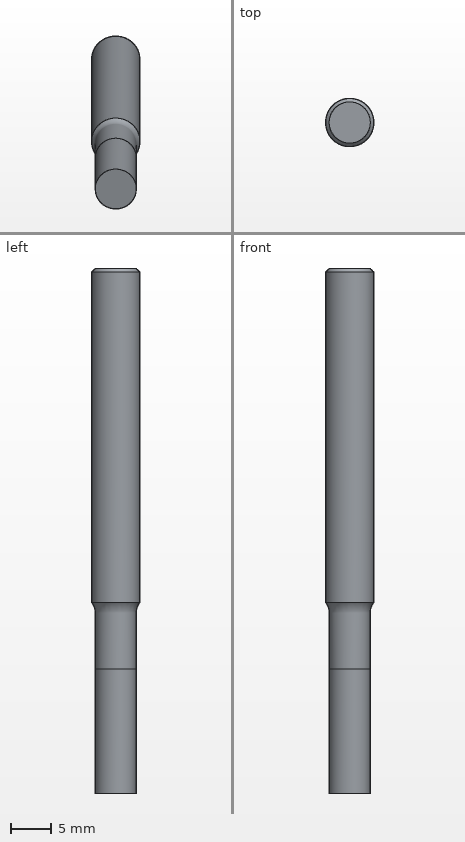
import cadquery as cq
import math

total_length = 65.0
shank_diameter = 6.0
cutter_diameter = 5.1

cutter_length = 15.4
neck_top = 22.4

top_chamfer = 0.45
neck_fillet_radius = 2.0

shank_radius = shank_diameter / 2
cutter_radius = cutter_diameter / 2
neck_radius = cutter_radius


def make_shank():
    """Plain shank with a chamfered top and a neck joined by a concave fillet."""
    sweep = math.acos(1 - (shank_radius - neck_radius) / neck_fillet_radius)
    shank_bottom = neck_top + neck_fillet_radius * math.sin(sweep)
    fillet_middle = (
        neck_radius + neck_fillet_radius * (1 - math.cos(sweep / 2)),
        neck_top + neck_fillet_radius * math.sin(sweep / 2),
    )
    profile = (
        cq.Workplane("XZ")
        .moveTo(0, cutter_length)
        .lineTo(neck_radius, cutter_length)
        .lineTo(neck_radius, neck_top)
        .threePointArc(fillet_middle, (shank_radius, shank_bottom))
        .lineTo(shank_radius, total_length - top_chamfer)
        .lineTo(shank_radius - top_chamfer, total_length)
        .lineTo(0, total_length)
        .close()
    )
    return profile.revolve(360, (0, 0, 0), (0, 1, 0))


def make_cutter():
    """Plain cylindrical cutting end, butted against the bottom of the neck."""
    return cq.Workplane("XY").circle(cutter_radius).extrude(cutter_length)


shank = make_shank()
cutter = make_cutter()

result = cq.Compound.makeCompound([shank.val(), cutter.val()])